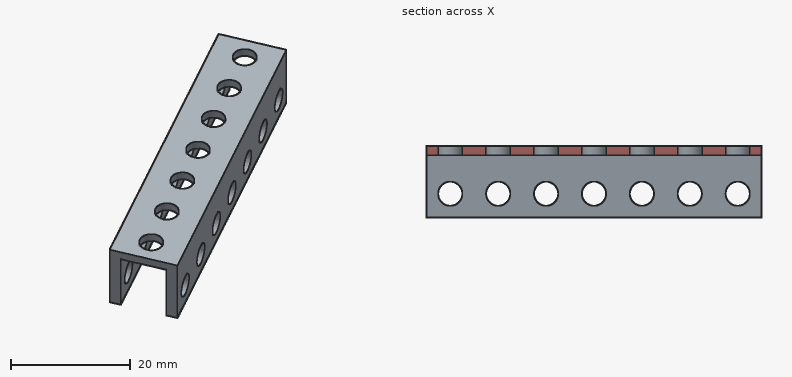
import cadquery as cq

width = 12.0
height = 12.0
leg_thickness = 2.0
web_thickness = 1.6

hole_count = 7
hole_pitch = 8.0
hole_diameter = 4.0
side_hole_height = 4.0

length = hole_count * hole_pitch
hole_positions = [(i - (hole_count - 1) / 2) * hole_pitch for i in range(hole_count)]


def channel():
    """Straight U channel along Y, open at the bottom, resting on Z = 0."""
    block = cq.Workplane("XY").box(width, length, height, centered=(True, True, False))
    opening = cq.Workplane("XY").box(
        width - 2 * leg_thickness,
        length,
        height - web_thickness,
        centered=(True, True, False),
    )
    return block.cut(opening)


def web_holes():
    """Vertical cylinders through the web, one per pitch."""
    centers = [(0, y) for y in hole_positions]
    return cq.Workplane("XY").pushPoints(centers).circle(hole_diameter / 2).extrude(height)


def leg_holes():
    """Cylinders along X through both legs, one per pitch."""
    centers = [(y, side_hole_height) for y in hole_positions]
    return (
        cq.Workplane("YZ")
        .pushPoints(centers)
        .circle(hole_diameter / 2)
        .extrude(width / 2, both=True)
    )


result = channel().cut(web_holes()).cut(leg_holes())